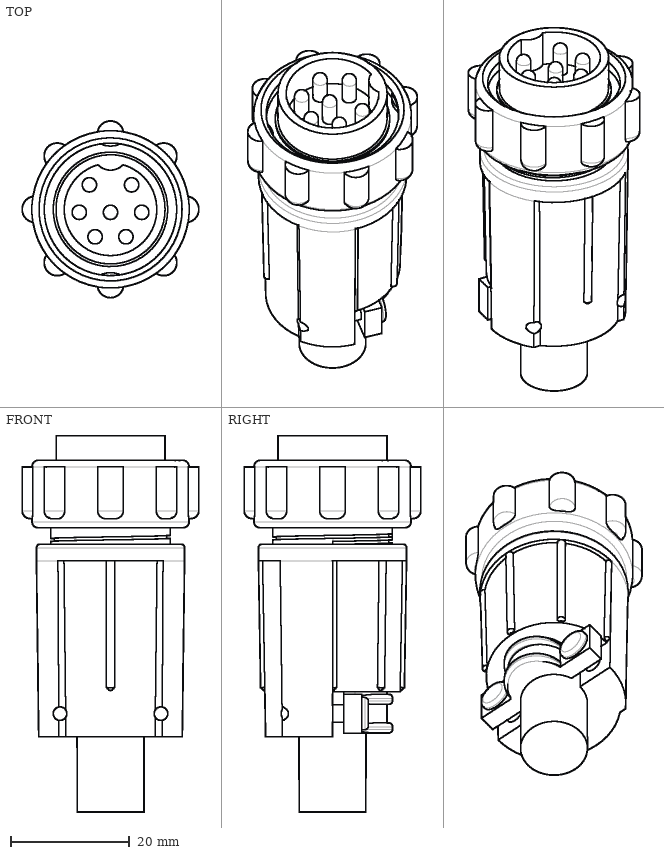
import cadquery as cq
import math

TOTAL_HEIGHT = 63.5

CABLE_RADIUS = 5.65

SHELL_BOTTOM_Z = 12.7
REAR_SHELL_BOTTOM_Z = 20.25
COLLAR_BOTTOM_Z = 42.4
COLLAR_TOP_Z = 45.2
COLLAR_RADIUS = 12.5
COLLAR_FILLET = 0.65
CORE_TOP_RADIUS = 11.8
CORE_BOTTOM_RADIUS = 11.3
LOBE_TOP_RADIUS = COLLAR_RADIUS
LOBE_BOTTOM_RADIUS = 12.1
LOBE_TOP_DEPTH = 8.8
LOBE_BOTTOM_DEPTH = 8.45
RIB_RADIUS = 0.7
RIB_CHAMFER = 0.5
RIB_BOTTOM_Z = 20.5
RIB_ANGLES = (-90, 0, 45, 90, 135, 180)

CLAMP_BOTTOM_Z = 13.35
CLAMP_TOP_Z = 19.9
CLAMP_MID_Z = (CLAMP_BOTTOM_Z + CLAMP_TOP_Z) / 2
EAR_REACH = 11.75
EAR_FRONT_Y = 1.9
EAR_BACK_Y = 4.95
ARCH_HALF_WIDTH = 5.45
ARCH_WEB_TOP_Y = 9.2
ARCH_FLANGE_TOP_Y = 10.15
FLANGE_THICKNESS = 1.7
FLANGE_FILLET = 0.65
SCREW_X = 8.5
SCREW_RADIUS = 1.45
SCREW_HEAD_RADIUS = 2.7
SCREW_HEAD_TOP_Y = 6.05
SCREW_HEAD_FILLET = 0.65
SCREW_HOLE_RADIUS = 1.15
SCREW_HOLE_FLOOR_Y = -5.1

NECK_RADIUS = 10.1
THREAD_ROOT_RADIUS = 9.5
THREAD_PITCH = 1.0
THREAD_TURNS = 1.25
THREAD_START_Z = 45.4
THREAD_GROOVE_WIDTH = 0.5

RING_RADIUS = 13.3
RING_BOTTOM_Z = 47.95
RING_TOP_Z = 59.4
RING_TOP_FILLET = 1.15
RING_BOTTOM_FILLET = 1.0
RING_MOUTH_RADIUS = 12.05
RING_BORE_RADIUS = 11.2
RING_MOUTH_DEPTH = 1.0
RING_BUMP_RADIUS = 3.8
RING_BUMP_INNER_Y = 10.65
RING_BUMP_TOP_Z = 57.8
RING_FLOOR_Z = 56.8
KNOB_COUNT = 8
KNOB_RADIUS = 2.2
KNOB_REACH = 14.9
KNOB_BOTTOM_Z = 49.45
KNOB_TOP_Z = 58.2
KNOB_FILLET = 1.4

PLUG_RADIUS = 9.2
PLUG_BASE_RADIUS = 9.65
PLUG_BASE_HEIGHT = 0.4
SOCKET_RADIUS = 7.8
SOCKET_FLOOR_Z = 57.15
KEY_RADIUS = 2.9
KEY_TIP_Y = 6.6
PIN_RADIUS = 1.2
PIN_TOP_Z = 62.7
PIN_POSITIONS = [
    (0, -0.5),
    (-5.3, -0.5),
    (5.3, -0.5),
    (-3.55, 4.1),
    (3.55, 4.1),
    (-2.6, -4.65),
    (2.6, -4.65),
]


def disc(radius, bottom_z, top_z, x=0, y=0):
    """Vertical cylinder between two heights."""
    return cq.Workplane("XY", origin=(x, y, bottom_z)).circle(radius).extrude(top_z - bottom_z)


def cone(bottom_radius, top_radius, bottom_z, top_z):
    """Tapered round body on the main axis."""
    profile = [(0, bottom_z), (bottom_radius, bottom_z), (top_radius, top_z), (0, top_z)]
    return cq.Workplane("XZ").polyline(profile).close().revolve(360, (0, 0, 0), (0, 1, 0))


def block(x_range, y_range, z_range):
    """Axis-aligned box given by its limits."""
    (x0, x1), (y0, y1), (z0, z1) = x_range, y_range, z_range
    return cq.Workplane("XY").box(x1 - x0, y1 - y0, z1 - z0, centered=False).translate((x0, y0, z0))


def rod_along_y(radius, x, z, y_start, y_end):
    """Cylinder parallel to Y, drawn from y_start up to y_end."""
    return cq.Workplane("XZ", origin=(x, y_start, z)).circle(radius).extrude(y_start - y_end)


def make_rib(angle):
    """Round rib that leans with the taper of the shell."""
    height = COLLAR_BOTTOM_Z - RIB_BOTTOM_Z
    slope = (CORE_TOP_RADIUS - CORE_BOTTOM_RADIUS) / (COLLAR_BOTTOM_Z - SHELL_BOTTOM_Z)
    bottom_x = CORE_TOP_RADIUS - slope * height
    rib = cq.Workplane("XY").circle(RIB_RADIUS).extrude(height).faces("<Z").chamfer(RIB_CHAMFER)
    lean = math.degrees(math.atan(slope))
    rib = rib.rotate((0, 0, 0), (0, 1, 0), lean).translate((bottom_x, 0, RIB_BOTTOM_Z))
    return rib.rotate((0, 0, 0), (0, 0, 1), angle)


def make_lobes():
    """Wider part of the front half shell, cut off by a drafted plane facing -Y."""
    lobes = cone(LOBE_BOTTOM_RADIUS, LOBE_TOP_RADIUS, SHELL_BOTTOM_Z, COLLAR_BOTTOM_Z)
    side = [
        (0, SHELL_BOTTOM_Z),
        (-LOBE_BOTTOM_DEPTH, SHELL_BOTTOM_Z),
        (-LOBE_TOP_DEPTH, COLLAR_BOTTOM_Z),
        (0, COLLAR_BOTTOM_Z),
    ]
    limits = cq.Workplane("YZ").polyline(side).close().extrude(COLLAR_RADIUS, both=True)
    return lobes.intersect(limits)


def make_body():
    """Collar and tapered shell; the rear half ends higher and leaves the clamp exposed."""
    core = cone(CORE_BOTTOM_RADIUS, CORE_TOP_RADIUS, SHELL_BOTTOM_Z, COLLAR_BOTTOM_Z)
    rear_opening = block(
        (-COLLAR_RADIUS, COLLAR_RADIUS),
        (0, COLLAR_RADIUS),
        (SHELL_BOTTOM_Z, REAR_SHELL_BOTTOM_Z),
    )
    collar = disc(COLLAR_RADIUS, COLLAR_BOTTOM_Z, COLLAR_TOP_Z).faces(">Z").edges().fillet(COLLAR_FILLET)
    body = core.cut(rear_opening).union(make_lobes()).union(collar)
    for angle in RIB_ANGLES:
        body = body.union(make_rib(angle))
    for x in (-SCREW_X, SCREW_X):
        hole = rod_along_y(SCREW_HOLE_RADIUS, x, CLAMP_MID_Z, -COLLAR_RADIUS, SCREW_HOLE_FLOOR_Y)
        body = body.cut(hole)
    return body


def arch(top_y, bottom_z, top_z):
    """Round-topped bridge over the cable, standing on the ears."""
    shoulder_y = top_y - ARCH_HALF_WIDTH
    outline = (
        cq.Workplane("XY", origin=(0, 0, bottom_z))
        .moveTo(-ARCH_HALF_WIDTH, EAR_FRONT_Y)
        .lineTo(-ARCH_HALF_WIDTH, shoulder_y)
        .threePointArc((0, top_y), (ARCH_HALF_WIDTH, shoulder_y))
        .lineTo(ARCH_HALF_WIDTH, EAR_FRONT_Y)
        .close()
    )
    return outline.extrude(top_z - bottom_z)


def make_clamp():
    """Eared saddle with a flanged arch and one screw through each ear."""
    clamp = block((-EAR_REACH, EAR_REACH), (EAR_FRONT_Y, EAR_BACK_Y), (CLAMP_BOTTOM_Z, CLAMP_TOP_Z))
    clamp = clamp.union(arch(ARCH_WEB_TOP_Y, CLAMP_BOTTOM_Z, REAR_SHELL_BOTTOM_Z))
    for bottom_z in (CLAMP_BOTTOM_Z, CLAMP_TOP_Z - FLANGE_THICKNESS):
        flange = arch(ARCH_FLANGE_TOP_Y, bottom_z, bottom_z + FLANGE_THICKNESS)
        clamp = clamp.union(flange.edges("%CIRCLE").fillet(FLANGE_FILLET))
    for x in (-SCREW_X, SCREW_X):
        shank = rod_along_y(SCREW_RADIUS, x, CLAMP_MID_Z, 0, EAR_BACK_Y)
        head = rod_along_y(SCREW_HEAD_RADIUS, x, CLAMP_MID_Z, EAR_BACK_Y, SCREW_HEAD_TOP_Y)
        clamp = clamp.union(shank).union(head.faces(">Y").edges().fillet(SCREW_HEAD_FILLET))
    return clamp


def make_neck():
    """Plain cylinder with a short right-handed thread groove above the collar."""
    neck = disc(NECK_RADIUS, COLLAR_TOP_Z, RING_BOTTOM_Z)
    path = cq.Wire.makeHelix(
        THREAD_PITCH, THREAD_PITCH * THREAD_TURNS, NECK_RADIUS, cq.Vector(0, 0, THREAD_START_Z)
    )
    groove_depth = NECK_RADIUS - THREAD_ROOT_RADIUS
    groove = (
        cq.Workplane("XZ", origin=(NECK_RADIUS, 0, THREAD_START_Z))
        .rect(2 * groove_depth, THREAD_GROOVE_WIDTH)
        .sweep(path, isFrenet=True)
    )
    return neck.cut(groove)


def make_ring():
    """Coupling ring with grip knobs outside and a flared bore with two bumps inside."""
    ring = disc(RING_RADIUS, RING_BOTTOM_Z, RING_TOP_Z)
    ring = ring.faces(">Z").edges().fillet(RING_TOP_FILLET)
    ring = ring.faces("<Z").edges().fillet(RING_BOTTOM_FILLET)
    knob = disc(KNOB_RADIUS, KNOB_BOTTOM_Z, KNOB_TOP_Z, x=KNOB_REACH - KNOB_RADIUS)
    knob = knob.faces("<Z").edges().fillet(KNOB_FILLET)
    for i in range(KNOB_COUNT):
        ring = ring.union(knob.rotate((0, 0, 0), (0, 0, 1), i * 360 / KNOB_COUNT))
    mouth_bottom_z = RING_TOP_Z - RING_MOUTH_DEPTH
    bore = disc(RING_BORE_RADIUS, RING_FLOOR_Z, mouth_bottom_z)
    for direction in (-1, 1):
        bump_y = direction * (RING_BUMP_INNER_Y + RING_BUMP_RADIUS)
        bore = bore.cut(disc(RING_BUMP_RADIUS, RING_FLOOR_Z, RING_BUMP_TOP_Z, y=bump_y))
    mouth = cone(RING_BORE_RADIUS, RING_MOUTH_RADIUS, mouth_bottom_z, RING_TOP_Z)
    return ring.cut(bore).cut(mouth)


def make_pin(x, y):
    """Contact pin with a domed tip."""
    pin = disc(PIN_RADIUS, SOCKET_FLOOR_Z, PIN_TOP_Z - PIN_RADIUS, x, y)
    tip = cq.Workplane("XY").sphere(PIN_RADIUS).translate((x, y, PIN_TOP_Z - PIN_RADIUS))
    return pin.union(tip)


def make_plug():
    """Barrel with a keyed socket that holds the contact pins."""
    base = disc(PLUG_BASE_RADIUS, RING_FLOOR_Z, RING_FLOOR_Z + PLUG_BASE_HEIGHT)
    barrel = disc(PLUG_RADIUS, RING_FLOOR_Z, TOTAL_HEIGHT).union(base)
    key = disc(KEY_RADIUS, SOCKET_FLOOR_Z, TOTAL_HEIGHT, y=KEY_TIP_Y + KEY_RADIUS)
    plug = barrel.cut(disc(SOCKET_RADIUS, SOCKET_FLOOR_Z, TOTAL_HEIGHT).cut(key))
    for x, y in PIN_POSITIONS:
        plug = plug.union(make_pin(x, y))
    return plug


cable = disc(CABLE_RADIUS, 0, COLLAR_BOTTOM_Z)

result = (
    cable
    .union(make_body())
    .union(make_clamp())
    .union(make_neck())
    .union(make_ring())
    .union(make_plug())
)